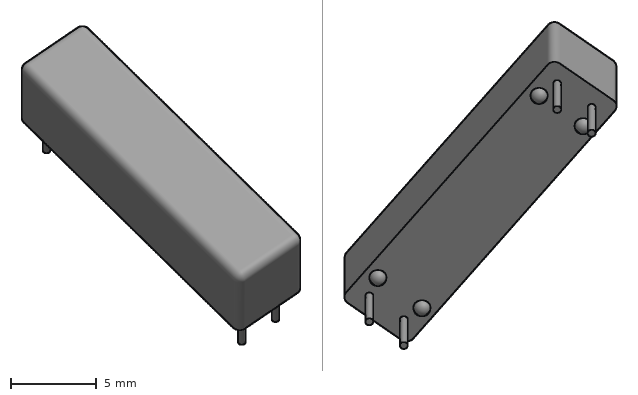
import cadquery as cq

body_length = 20.07
body_width = 4.95
body_height = 5.3
edge_radius = 0.5

pin_diameter = 0.46
pin_drop = 3.2
pin_spacing_x = 17.78
pin_spacing_y = 2.55

standoff_radius = 0.5
standoff_spacing_x = 15.25
standoff_spacing_y = 3.25


def make_body():
    """Block with rounded upright and top edges and a sharp bottom edge."""
    block = cq.Workplane("XY").box(
        body_length, body_width, body_height, centered=(True, True, False)
    )
    return block.edges("|Z or >Z").fillet(edge_radius)


def make_pins():
    """Four leads hanging from the bottom face."""
    return (
        cq.Workplane("XY")
        .rarray(pin_spacing_x, pin_spacing_y, 2, 2)
        .circle(pin_diameter / 2)
        .extrude(-pin_drop)
    )


def make_standoffs():
    """Four balls centred on the bottom face, so that half of each shows."""
    return (
        cq.Workplane("XY")
        .rarray(standoff_spacing_x, standoff_spacing_y, 2, 2)
        .sphere(standoff_radius)
    )


result = make_body().union(make_pins()).union(make_standoffs())